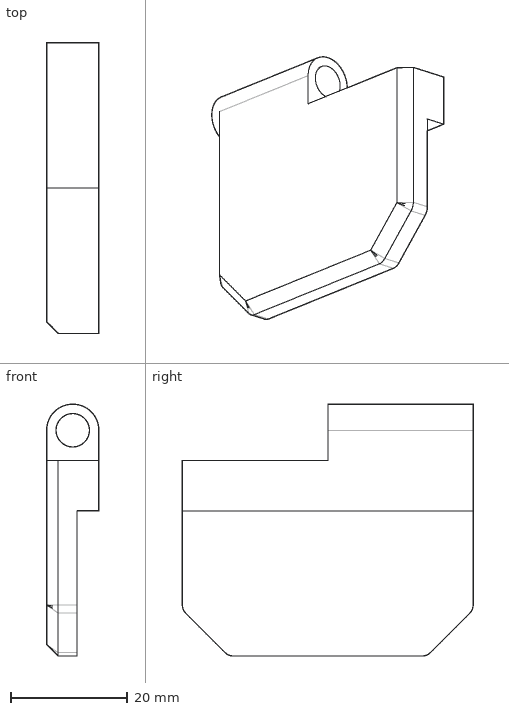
import cadquery as cq

length = 50.0
height = 43.3
thickness = 9.0

plate_thickness = 5.25
bevel = 2.0
corner_cut = 6.8
shoulder_z = 33.65
rail_bottom_z = 24.95

barrel_radius = thickness / 2
barrel_z = height - barrel_radius
barrel_length = length / 2
bore_diameter = 5.7

half_length = length / 2
face_half = half_length - bevel


def block(x_size, y_min, y_max, z_min, z_max):
    """Box starting at x = 0, between the given Y and Z limits."""
    return cq.Workplane("XY").box(
        x_size, y_max - y_min, z_max - z_min, centered=False
    ).translate((0, y_min, z_min))


def face_outline():
    """Flat -X face, drawn up to the top of the part so its top bevel can be trimmed."""
    return cq.Workplane("YZ").polyline([
        (-face_half, height),
        (-face_half, bevel + corner_cut),
        (-face_half + corner_cut, bevel),
        (face_half - corner_cut, bevel),
        (face_half, bevel + corner_cut),
        (face_half, height),
    ]).close()


bevelled_layer = face_outline().extrude(bevel, taper=-45)
straight_layer = (
    face_outline().offset2D(bevel, "arc").extrude(plate_thickness - bevel)
    .translate((bevel, 0, 0))
)
plate = bevelled_layer.union(straight_layer)

rail = block(thickness - bevel, -half_length, half_length, rail_bottom_z, barrel_z)
body = plate.union(rail.translate((bevel, 0, 0)))

kept_below_shoulder = block(thickness, -half_length, half_length, 0, shoulder_z)
kept_below_barrel = block(
    thickness, half_length - barrel_length, half_length, 0, barrel_z
)
body = body.intersect(kept_below_shoulder.union(kept_below_barrel))


def hinge_cylinder(radius):
    """Cylinder on the hinge axis, running from the +Y end over the barrel length."""
    return (
        cq.Workplane("XZ", origin=(barrel_radius, half_length, barrel_z))
        .circle(radius)
        .extrude(barrel_length)
    )


barrel = hinge_cylinder(barrel_radius)
bore = hinge_cylinder(bore_diameter / 2)
result = body.union(barrel).cut(bore)